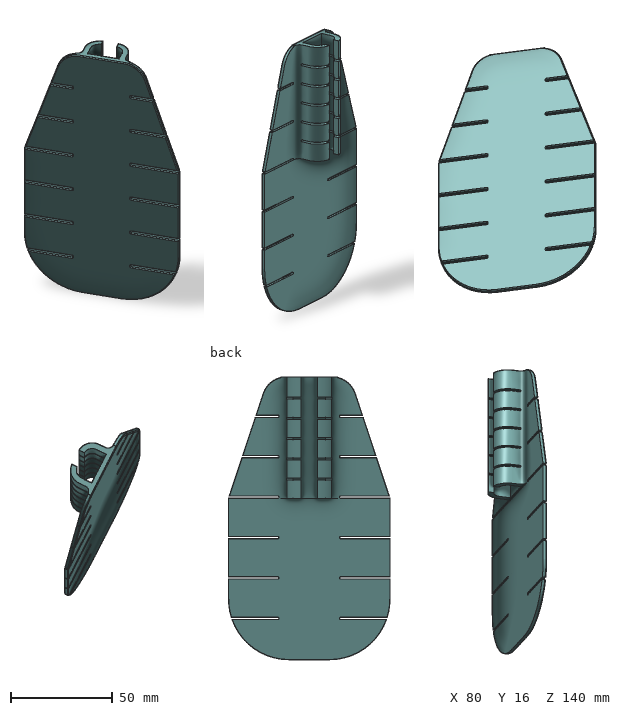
import cadquery as cq
import math

height = 140.0
width = 80.0
thickness = 2.0
top_width = 40.0
bottom_radius = 30.0
top_radius = 12.0
edge_chamfer = 0.5

slot_rows = 6
slot_pitch = height / (slot_rows + 1)
slot_width = 1.0
slot_tip_gap = 30.0
rows_below_shoulder = 4
shoulder_height = rows_below_shoulder * slot_pitch

depth = 16.0
clip_width = 22.1
clip_length = 60.0
clip_wall = 3.0
clip_floor = 3.0
clip_opening = 8.0
clip_bend_radius = 7.5
clip_root_fillet = 3.0
clip_segments = 6
clip_segment_pitch = clip_length / clip_segments
clip_slot_floor = 4.0


def plate_blank():
    """Plate with parallel lower sides, leaning upper sides and rounded corners."""
    blank = (
        cq.Workplane("XZ")
        .moveTo(-width / 2, 0)
        .lineTo(width / 2, 0)
        .lineTo(width / 2, shoulder_height)
        .lineTo(top_width / 2, height)
        .lineTo(-top_width / 2, height)
        .lineTo(-width / 2, shoulder_height)
        .close()
        .extrude(-thickness)
    )
    blank = blank.edges("|Y and <Z").fillet(bottom_radius)
    return blank.edges("|Y and >Z").fillet(top_radius)


def plate_slots():
    """Round-tipped slots running in from both sides, lower edges on the pitch lines."""
    slot_length = width
    centre_x = (slot_tip_gap + slot_length) / 2
    centres = [
        (side * centre_x, row * slot_pitch + slot_width / 2)
        for side in (-1, 1)
        for row in range(1, slot_rows + 1)
    ]
    slots = cq.Workplane("XZ").pushPoints(centres).slot2D(slot_length, slot_width)
    return slots.extrude(-thickness)


def plate():
    """Slotted plate with every front edge chamfered, slot edges included."""
    fingers = plate_blank().cut(plate_slots())
    return fingers.faces("<Y").chamfer(edge_chamfer)


def clip_body():
    """C-shaped rail with inward-curling arms and concave fillets at its root."""
    half_width = clip_width / 2
    half_opening = clip_opening / 2
    inner_half = half_width - clip_wall
    inner_radius = clip_bend_radius - clip_wall

    bend_x = half_width - clip_bend_radius
    lip_offset = half_opening - bend_x
    bend_y = depth - math.sqrt(clip_bend_radius**2 - lip_offset**2)
    lip_inner_y = bend_y + math.sqrt(inner_radius**2 - lip_offset**2)

    root_x = half_width + clip_root_fillet
    root_y = thickness + clip_root_fillet
    diagonal = math.sqrt(0.5)
    root_middle = (root_x - clip_root_fillet * diagonal, root_y - clip_root_fillet * diagonal)

    def bend_middle(radius):
        return (bend_x + radius * diagonal, bend_y + radius * diagonal)

    section = (
        cq.Workplane("XY", origin=(0, 0, height - clip_length))
        .moveTo(0, edge_chamfer)
        .lineTo(root_x, edge_chamfer)
        .lineTo(root_x, thickness)
        .threePointArc(root_middle, (half_width, root_y))
        .lineTo(half_width, bend_y)
        .threePointArc(bend_middle(clip_bend_radius), (half_opening, depth))
        .lineTo(half_opening, lip_inner_y)
        .threePointArc(bend_middle(inner_radius), (inner_half, bend_y))
        .lineTo(inner_half, clip_floor)
        .lineTo(0, clip_floor)
        .mirrorY()
    )
    return section.extrude(clip_length)


def clip_slots():
    """Round-bottomed cuts across the clip, upper edges on the segment pitch lines."""
    cut_length = 2 * (depth - clip_slot_floor)
    centres = [
        (clip_slot_floor + cut_length / 2, height - number * clip_segment_pitch - slot_width / 2)
        for number in range(1, clip_segments)
    ]
    cuts = cq.Workplane("YZ").pushPoints(centres).slot2D(cut_length, slot_width)
    return cuts.extrude(clip_width, both=True)


result = plate().union(clip_body().cut(clip_slots()))